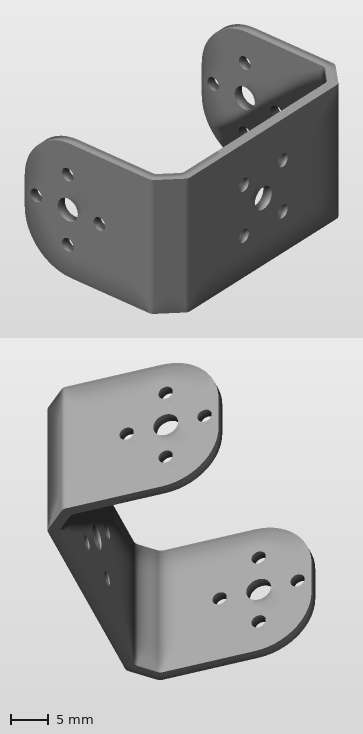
import cadquery as cq
import math

depth = 25.5
width = 38.0
height = 21.0
thickness = 1.5

outer_bevel = 3.5
bend_radius = 1.0
inner_bevel = outer_bevel - thickness * (2 - math.sqrt(2))

arm_corner_radius = 8.0

center_hole_diameter = 3.5
screw_hole_diameter = 2.0
arm_hole_setback = 7.5
arm_screw_offset = 5.5
back_screw_spacing = 8.0

front_x = -depth / 2
back_x = depth / 2


def bevelled_block(block_back_x, block_width, bevel):
    """Full-height block with bevelled back corners and rounded bends."""
    return (
        cq.Workplane("XY")
        .box(block_back_x - front_x, block_width, height)
        .translate(((front_x + block_back_x) / 2, 0, 0))
        .edges("|Z and >X")
        .chamfer(bevel)
        .faces(">X or (not (|X or |Y or |Z))")
        .edges("|Z")
        .fillet(bend_radius)
    )


def bent_sheet():
    """U-shaped sheet: the outer block minus the space between the arms."""
    outside = bevelled_block(back_x, width, outer_bevel)
    inside = bevelled_block(back_x - thickness, width - 2 * thickness, inner_bevel)
    return outside.cut(inside).edges("|Y and <X").fillet(arm_corner_radius)


def hole_cutters(plane, center, screw_points, length):
    """Centre hole and surrounding screw holes, cut symmetrically about the plane."""
    pattern = cq.Workplane(plane, origin=center)
    center_hole = pattern.circle(center_hole_diameter / 2).extrude(length, both=True)
    screw_holes = (
        pattern.pushPoints(screw_points)
        .circle(screw_hole_diameter / 2)
        .extrude(length, both=True)
    )
    return center_hole.union(screw_holes)


arm_holes = hole_cutters(
    "XZ",
    (front_x + arm_hole_setback, 0, 0),
    [
        (arm_screw_offset, 0),
        (-arm_screw_offset, 0),
        (0, arm_screw_offset),
        (0, -arm_screw_offset),
    ],
    width,
)

half_spacing = back_screw_spacing / 2
back_holes = hole_cutters(
    "YZ",
    (back_x, 0, 0),
    [(y, z) for y in (-half_spacing, half_spacing) for z in (-half_spacing, half_spacing)],
    2 * thickness,
)

result = bent_sheet().cut(arm_holes).cut(back_holes)